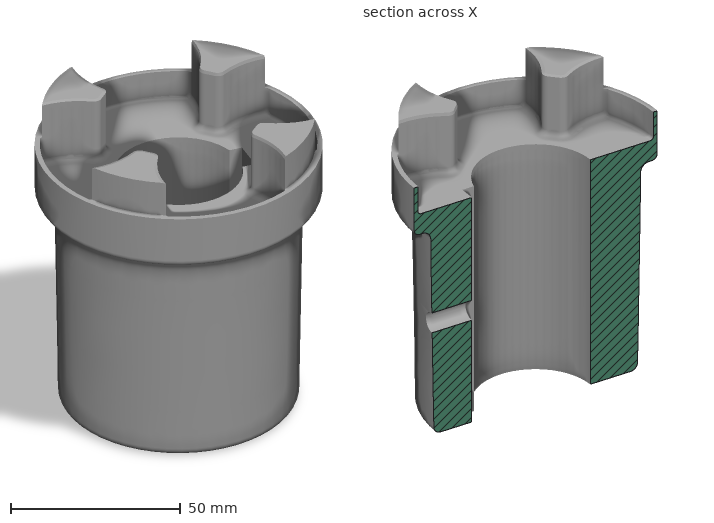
import cadquery as cq
import math

total_height = 97.5
rim_height = 86.3
floor_height = 76.8
flange_bottom = 69.7

flange_radius = 42.5
flange_edge_fillet = 2.0
hub_top_radius = 36.8
hub_bottom_radius = 35.6
neck_fillet = 2.7
hub_end_fillet = 2.5

rim_inner_radius = 40.95
cup_fillet = 1.0

claw_count = 4
claw_outer_radius = 40.5
claw_face_distance = 24.0
flank_radius = 25.0
flank_center_along = 34.1
flank_center_beyond = 5.85
claw_nose_fillet = 2.4
claw_foot_fillet = 1.95
claw_corner_fillet = 1.2
claw_chamfer_height = 1.0
claw_chamfer_width = 0.3

bore_radius = 19.0
keyway_width = 10.0
keyway_top = 22.3
screw_diameter = 6.6
screw_height = 38.2


def cylinder(radius, bottom, top):
    """Solid cylinder on the Z axis between two heights."""
    return cq.Workplane("XY", origin=(0, 0, bottom)).circle(radius).extrude(top - bottom)


def between_radii(shape, inner, outer):
    """Edges of a shape whose midpoints lie between two distances from the Z axis."""
    def in_range(edge):
        middle = edge.positionAt(0.5)
        return inner < math.hypot(middle.x, middle.y) < outer

    return shape.filter(in_range)


def make_body():
    """Tapered hub carrying a solid flange."""
    hub = (
        cq.Workplane("XZ")
        .polyline([(0, 0), (hub_bottom_radius, 0), (hub_top_radius, flange_bottom), (0, flange_bottom)])
        .close()
        .revolve(360, (0, 0, 0), (0, 1, 0))
        .faces("<Z").edges().fillet(hub_end_fillet)
    )
    flange = cylinder(flange_radius, flange_bottom, rim_height)
    flange = flange.faces("<Z").edges().fillet(flange_edge_fillet)
    underside = cq.selectors.NearestToPointSelector((0, 0, flange_bottom))
    body = hub.union(flange)
    neck = body.faces("|Z").faces(underside).edges()
    return between_radii(neck, 0, hub_top_radius + 0.1).fillet(neck_fillet)


def make_claw(bottom, top):
    """Claw pointing along +X: a block with a flat nose and two concave flanks."""
    diagonal = math.radians(180 / claw_count)
    center_x = flank_center_along * math.cos(diagonal) - flank_center_beyond * math.sin(diagonal)
    center_y = flank_center_along * math.sin(diagonal) + flank_center_beyond * math.cos(diagonal)
    length = flange_radius - claw_face_distance
    block = (
        cq.Workplane("XY", origin=(claw_face_distance + length / 2, 0, bottom))
        .rect(length, 2 * center_y)
        .extrude(top - bottom)
    )
    flanks = (
        cq.Workplane("XY", origin=(0, 0, bottom))
        .pushPoints([(center_x, -center_y), (center_x, center_y)])
        .circle(flank_radius)
        .extrude(top - bottom)
    )
    return block.cut(flanks).edges("|Z and <X").fillet(claw_nose_fillet)


def make_gaps(bottom, top):
    """Space inside the rim that surrounds the claws."""
    gaps = cylinder(rim_inner_radius, bottom, top)
    claw = make_claw(bottom, top)
    for index in range(claw_count):
        angle = (index + 0.5) * 360 / claw_count
        gaps = gaps.cut(claw.rotate((0, 0, 0), (0, 0, 1), angle))
    return gaps


def make_cup():
    """Recess inside the rim, with rounded claw feet, floor edge and corners."""
    corner = rim_inner_radius - 0.1
    gaps = make_gaps(floor_height, rim_height)
    gaps = between_radii(gaps.faces("<Z").edges(), 0, corner).fillet(claw_foot_fillet)
    cup = cylinder(rim_inner_radius, floor_height, rim_height).faces("<Z").edges().fillet(cup_fillet)
    cup = cup.intersect(gaps)
    return between_radii(cup.edges("|Z"), corner, flange_radius).fillet(claw_corner_fillet)


def add_claws(body):
    """Raise a crown above the rim and clear the gaps that leave the claws standing."""
    crown = cylinder(claw_outer_radius, flange_bottom, total_height)
    part = body.union(crown).cut(make_cup()).cut(make_gaps(rim_height, total_height))
    top_edges = part.faces(">Z").edges()
    inner_edges = between_radii(top_edges, 0, claw_outer_radius - 0.1)
    return inner_edges.chamfer(claw_chamfer_height, claw_chamfer_width)


def cut_bore(part):
    """Through bore with a keyway on +Y and a set screw hole leading into it."""
    keyway = (
        cq.Workplane("XY")
        .center(0, keyway_top / 2)
        .rect(keyway_width, keyway_top)
        .extrude(total_height)
    )
    screw = (
        cq.Workplane("XZ", origin=(0, 0, screw_height))
        .circle(screw_diameter / 2)
        .extrude(-flange_radius)
    )
    return part.cut(cylinder(bore_radius, 0, total_height)).cut(keyway).cut(screw)


result = cut_bore(add_claws(make_body()))